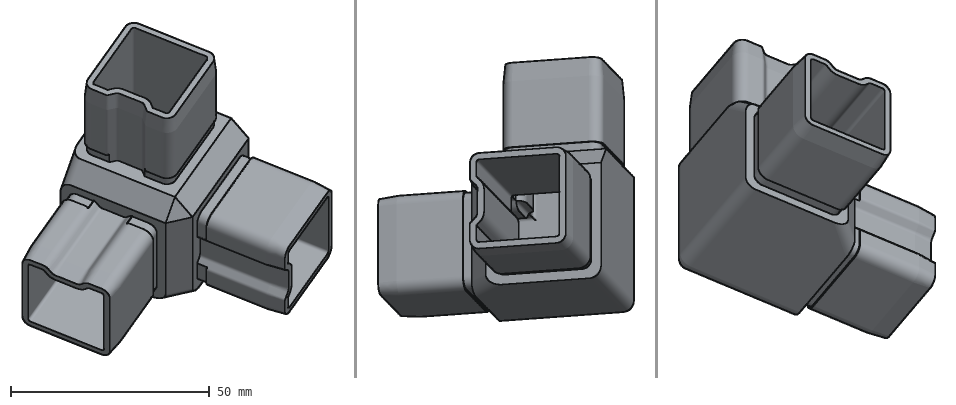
import cadquery as cq
import math


tube_side = 30.0
hub_chamfer = 5.0
hub_side = tube_side + hub_chamfer
hub_fillet = 3.0
plug_center = tube_side / 2

total_length = 60.0
plug_length = total_length - hub_side
neck_length = 2.8
tip_length = 5.0
barrel_length = plug_length - neck_length - tip_length

plug_side = 26.0
plug_corner_radius = 3.0
neck_inset = 0.5
tip_inset = 0.5
wall = 2.2

notch_depth = 2.0
notch_mouth_half_width = 5.5
notch_floor_half_width = notch_mouth_half_width - notch_depth
flank_angle = math.radians(45)
notch_floor_radius = 1.25
notch_mouth_radius = 1.25
front_notch_mouth_radius = 3.0

bore_corner_radius = 1.0
cavity_side = plug_side - 2 * wall
cavity_start = plug_center - cavity_side / 2
bore_start = cavity_start + bore_corner_radius

x_axis_plane = cq.Plane(origin=(0, -plug_center, plug_center), xDir=(0, 0, 1), normal=(1, 0, 0))
y_axis_plane = cq.Plane(origin=(plug_center, 0, plug_center), xDir=(1, 0, 0), normal=(0, -1, 0))
z_axis_plane = cq.Plane(origin=(plug_center, -plug_center, 0), xDir=(-1, 0, 0), normal=(0, 0, 1))

plugs = (
    (x_axis_plane, notch_mouth_radius, 0),
    (y_axis_plane, front_notch_mouth_radius, notch_mouth_half_width),
    (z_axis_plane, notch_mouth_radius, 0),
)


def on_arc(center, radius, degrees):
    angle = math.radians(degrees)
    return (center[0] + radius * math.cos(angle), center[1] + radius * math.sin(angle))


def notched_outline(plane, height, inset, mouth_radius):
    """Wire of a rounded square notched in its local +Y side, moved inward evenly by an inset."""
    half = plug_side / 2 - inset
    corner_r = plug_corner_radius - inset
    corner_center = half - corner_r

    mouth_r = max(mouth_radius - inset, 0)
    floor_r = notch_floor_radius + inset

    bend = math.tan(flank_angle / 2)
    floor_y = half - notch_depth
    mouth_center = (notch_mouth_half_width + (inset + mouth_r) * bend, half - mouth_r)
    floor_center = (notch_floor_half_width + (inset - floor_r) * bend, floor_y + floor_r)

    flank_degrees = math.degrees(flank_angle)
    flank_top = on_arc(mouth_center, mouth_r, 90 + flank_degrees)
    flank_bottom = on_arc(floor_center, floor_r, -90 + flank_degrees)
    upper_corner_middle = on_arc((corner_center, corner_center), corner_r, 45)
    lower_corner_middle = on_arc((corner_center, -corner_center), corner_r, -45)

    right_half = (
        cq.Workplane(plane)
        .workplane(offset=height)
        .moveTo(0, -half)
        .lineTo(corner_center, -half)
        .threePointArc(lower_corner_middle, (half, -corner_center))
        .lineTo(half, corner_center)
        .threePointArc(upper_corner_middle, (corner_center, half))
        .lineTo(mouth_center[0], half)
    )
    if mouth_r > 0:
        mouth_middle = on_arc(mouth_center, mouth_r, 90 + flank_degrees / 2)
        right_half = right_half.threePointArc(mouth_middle, flank_top)
    floor_middle = on_arc(floor_center, floor_r, -90 + flank_degrees / 2)
    right_half = (
        right_half.lineTo(*flank_bottom)
        .threePointArc(floor_middle, (floor_center[0], floor_y))
        .lineTo(0, floor_y)
    )
    return right_half.mirrorY()


def rounded_prism(plane, start, length, side, radius):
    section = cq.Sketch().rect(side, side).vertices().fillet(radius)
    return cq.Workplane(plane).workplane(offset=start).placeSketch(section).extrude(length)


def make_hub():
    hub = cq.Workplane("XY").box(hub_side, hub_side, hub_side, centered=False)
    hub = hub.translate((0, -hub_side, 0))
    hub = hub.edges("(>X and <Y) or (>X and >Z) or (<Y and >Z)").chamfer(hub_chamfer)
    corner_edges = "(<X and >Y) or (<X and <Z) or (>Y and <Z)"
    slanted_edges = "(<X or <Z) exc (|X or |Y or |Z)"
    return hub.edges(f"({corner_edges}) or ({slanted_edges})").fillet(hub_fillet)


def make_neck(plane, mouth_radius, full_half_width):
    """Shallow recess around the plug; full_half_width keeps the notch mouth at full size."""
    neck = notched_outline(plane, hub_side, 0, mouth_radius).extrude(neck_length)
    side = plug_side - 2 * neck_inset
    limit = rounded_prism(plane, hub_side, neck_length, side, plug_corner_radius - neck_inset)
    if full_half_width > 0:
        mouth = (
            cq.Workplane(plane)
            .workplane(offset=hub_side)
            .center(0, plug_side / 4)
            .rect(2 * full_half_width, plug_side / 2)
            .extrude(neck_length)
        )
        limit = limit.union(mouth)
    return neck.intersect(limit)


def make_plug(plane, mouth_radius, full_half_width):
    barrel_start = hub_side + neck_length
    tip_start = total_length - tip_length
    neck = make_neck(plane, mouth_radius, full_half_width)
    barrel = notched_outline(plane, barrel_start, 0, mouth_radius).extrude(barrel_length)
    tip_base = notched_outline(plane, tip_start, 0, mouth_radius).val()
    tip_end = notched_outline(plane, total_length, tip_inset, mouth_radius).val()
    tip = cq.Workplane(cq.Solid.makeLoft([tip_base, tip_end], True))
    return neck.union(barrel).union(tip)


def make_bore(plane, mouth_radius):
    return notched_outline(plane, bore_start, wall, mouth_radius).extrude(total_length - bore_start)


def make_cavity_core():
    """Cube where the bores meet, with every edge rounded and mitered at the corners."""
    planes = [plug[0] for plug in plugs]
    prisms = [rounded_prism(p, cavity_start, cavity_side, cavity_side, bore_corner_radius) for p in planes]
    return prisms[0].intersect(prisms[1]).intersect(prisms[2])


result = make_hub()
for plane, mouth_radius, full_half_width in plugs:
    result = result.union(make_plug(plane, mouth_radius, full_half_width))
for plane, mouth_radius, _ in plugs:
    result = result.cut(make_bore(plane, mouth_radius))
result = result.cut(make_cavity_core())